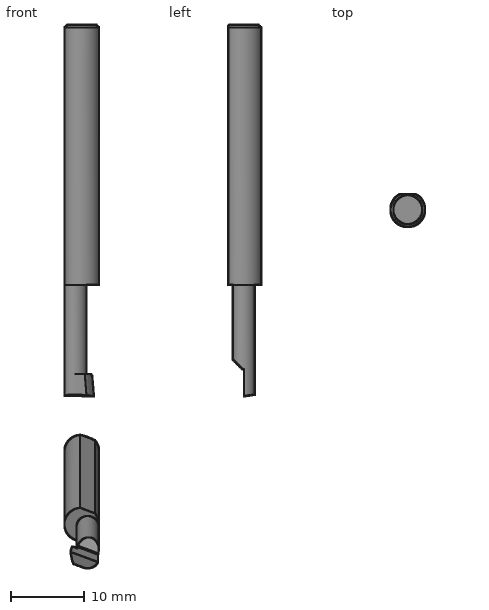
import cadquery as cq
import math

length = 50.8
shank_radius = 2.4
shank_start = 15.25
shank_flat_y = 2.15
chamfer_width = 0.4
chamfer_height = 0.4

neck_radius = 1.5
neck_x = neck_radius - shank_radius

relief_top = 3.7
relief_floor_width = 0.15
relief_angle = 45.0

head_top = 3.1
head_taper = 0.25
tip_x = 1.7
heel_x = 1.05
heel_y = -1.0
front_corner_x = 0.65
tip_corner = 0.15

end_drop = 0.1
end_rise = 0.2
cut_margin = 0.5


def make_shank():
    body = cq.Workplane("XY").workplane(offset=shank_start).circle(shank_radius).extrude(length - shank_start)
    body = body.faces(">Z").chamfer(chamfer_height, chamfer_width)
    flat_cut = cq.Workplane("XY").box(
        2 * shank_radius, shank_radius, length, centered=(True, False, False)
    ).translate((0, shank_flat_y, 0))
    return body.cut(flat_cut)


def make_neck():
    body = cq.Workplane("XY").center(neck_x, 0).circle(neck_radius).extrude(shank_start)
    outer_y = neck_radius + cut_margin
    slope_rise = (outer_y - relief_floor_width) * math.tan(math.radians(relief_angle))
    relief = (
        cq.Workplane("YZ")
        .polyline([
            (0, -cut_margin),
            (0, relief_top),
            (relief_floor_width, relief_top),
            (outer_y, relief_top + slope_rise),
            (outer_y, -cut_margin),
        ])
        .close()
        .extrude(2 * shank_radius, both=True)
    )
    return body.cut(relief)


def head_section(inset):
    """Head outline with its free side moved inwards by the given inset."""
    return [
        (neck_x, 0),
        (neck_x, -neck_radius),
        (front_corner_x - inset, -neck_radius),
        (heel_x - inset, heel_y),
        (tip_x - inset, 0),
    ]


def make_head():
    head = (
        cq.Workplane("XY")
        .polyline(head_section(0)).close()
        .workplane(offset=head_top)
        .polyline(head_section(head_taper)).close()
        .loft(ruled=True, combine=True)
    )
    upper_x = tip_x - head_taper
    corner_cut = (
        cq.Workplane("XZ")
        .polyline([
            (upper_x - tip_corner, head_top),
            (tip_x, head_top),
            (tip_x, head_top - 2 * tip_corner),
            (upper_x, head_top - 2 * tip_corner),
        ])
        .close()
        .extrude(neck_radius)
    )
    return head.cut(corner_cut)


def make_end_cut():
    """Solid below the sloping end face."""
    along_x = cq.Vector(tip_x + shank_radius, 0, -end_drop)
    along_y = cq.Vector(0, -neck_radius, end_rise)
    end_plane = cq.Plane(origin=(tip_x, 0, 0), xDir=along_x, normal=along_y.cross(along_x))
    return cq.Workplane(end_plane).rect(4 * shank_radius, 4 * shank_radius).extrude(-2 * cut_margin)


result = make_shank().union(make_neck()).union(make_head()).cut(make_end_cut())